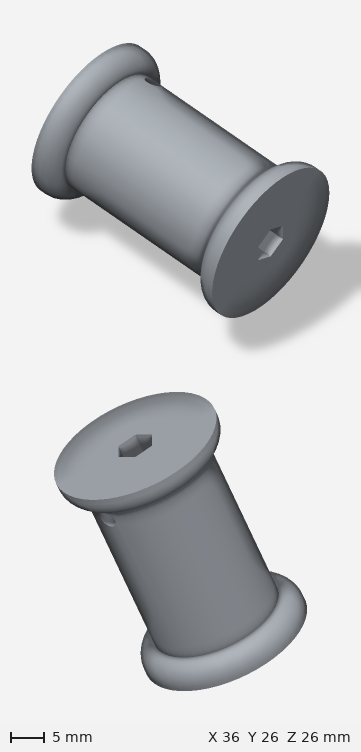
import cadquery as cq

length = 36.0
flange_radius = 13.0
barrel_radius = 10.0
rim_width = 1.0
rounding = flange_radius - barrel_radius

hex_across_flats = 5.4

cross_hole_diameter = 2.5
cross_hole_from_end = 6.25
cross_hole_y = 7.0


def spool_body():
    """Revolve half of the profile about X and mirror it to the other end."""
    end_x = -length / 2
    rim_x = end_x + rim_width
    barrel_x = rim_x + rounding
    arc_offset = rounding * 0.5**0.5
    half = (
        cq.Workplane("XY")
        .moveTo(end_x, 0)
        .lineTo(end_x, flange_radius)
        .lineTo(rim_x, flange_radius)
        .threePointArc(
            (rim_x + arc_offset, barrel_radius + arc_offset),
            (barrel_x, barrel_radius),
        )
        .lineTo(0, barrel_radius)
        .lineTo(0, 0)
        .close()
        .revolve(360, (0, 0, 0), (1, 0, 0))
    )
    return half.union(half.mirror("YZ")).clean()


def hex_bore():
    """Hexagonal prism along X with two corners pointing along Z."""
    return (
        cq.Workplane("YZ")
        .polygon(6, hex_across_flats, circumscribed=True)
        .extrude(length / 2, both=True)
    )


def cross_hole():
    """Cylinder along Z, near the -X flange and off the spool axis."""
    return (
        cq.Workplane("XY")
        .center(-length / 2 + cross_hole_from_end, cross_hole_y)
        .circle(cross_hole_diameter / 2)
        .extrude(flange_radius, both=True)
    )


result = spool_body().cut(hex_bore()).cut(cross_hole())